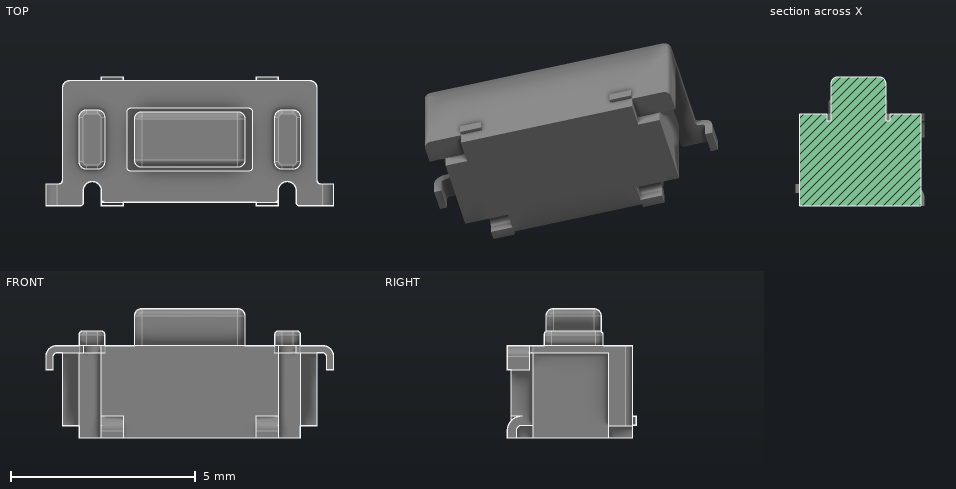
import cadquery as cq

CASE_TOP = 2.51
COVER_THICKNESS = 0.2
COVER_BOTTOM = CASE_TOP - COVER_THICKNESS
BUTTON_RISE = 1.0
BUTTON_TOP = CASE_TOP + BUTTON_RISE
BUMP_RISE = 0.4
BUMP_TOP = CASE_TOP + BUMP_RISE
FLANGE_BOTTOM = 0.33
TAB_BOTTOM = 1.85

CASE_BACK = 1.6
CASE_FRONT = -1.7
BLOCK_BACK = 0.95
BLOCK_FRONT = -1.1
TAB_BACK = -1.2
OVERHANG = 0.1
TAB_FRONT = CASE_FRONT - OVERHANG
TERMINAL_BACK = CASE_BACK + OVERHANG
TERMINAL_FRONT = CASE_FRONT - OVERHANG

COVER_HALF_WIDTH = 3.45
BLOCK_HALF_WIDTH = 3.0
CORE_HALF_WIDTH = 2.4
TAB_HALF_SPAN = 3.9

COVER_CORNER_RADIUS = 0.2
COVER_SMALL_RADIUS = 0.1
TAB_BEND_INNER_RADIUS = 0.1
TAB_BEND_OUTER_RADIUS = TAB_BEND_INNER_RADIUS + COVER_THICKNESS
NOTCH_RADIUS = 0.24
NOTCH_X = CORE_HALF_WIDTH + NOTCH_RADIUS
NOTCH_END = -1.14
WINDOW_LENGTH = 3.4
WINDOW_WIDTH = 1.7
WINDOW_RADIUS = 0.1

BUTTON_LENGTH = 3.0
BUTTON_WIDTH = 1.5
BUTTON_RADIUS = 0.2
BUMP_LENGTH = 0.7
BUMP_WIDTH = 1.6
BUMP_CORNER_RADIUS = 0.2
BUMP_TOP_RADIUS = 0.11
BUMP_X = 2.65

TERMINAL_WIDTH = 0.6
TERMINAL_STARTS = (-CORE_HALF_WIDTH, CORE_HALF_WIDTH - TERMINAL_WIDTH)
TERMINAL_TOP = 0.6
TERMINAL_THICKNESS = 0.25
TERMINAL_BEND_INNER_RADIUS = 0.15
TERMINAL_BEND_OUTER_RADIUS = TERMINAL_BEND_INNER_RADIUS + TERMINAL_THICKNESS

EDGE_SEARCH_REACH = 0.01


def box(x_min, x_max, y_min, y_max, z_min, z_max):
    """Box given by its limits along each axis."""
    size = (x_max - x_min, y_max - y_min, z_max - z_min)
    return cq.Workplane("XY").box(*size, centered=False).translate((x_min, y_min, z_min))


def centred_box(half_width, y_min, y_max, z_min, z_max):
    """Box symmetric about the YZ plane."""
    return box(-half_width, half_width, y_min, y_max, z_min, z_max)


def upright_edges_at(x, y, z_middle):
    """Selector for the upright edges at (-x, y) and (+x, y)."""
    left = cq.selectors.BoxSelector(*search_box(-x, y, z_middle))
    right = cq.selectors.BoxSelector(*search_box(x, y, z_middle))
    return left + right


def search_box(x, y, z):
    """Opposite corners of a small box around a point."""
    low = (x - EDGE_SEARCH_REACH, y - EDGE_SEARCH_REACH, z - EDGE_SEARCH_REACH)
    high = (x + EDGE_SEARCH_REACH, y + EDGE_SEARCH_REACH, z + EDGE_SEARCH_REACH)
    return low, high


def make_housing():
    """Moulded body: wide block, narrower core from front to back, and two front terminal pockets."""
    block = centred_box(BLOCK_HALF_WIDTH, BLOCK_FRONT, BLOCK_BACK, 0, COVER_BOTTOM)
    core = centred_box(CORE_HALF_WIDTH, CASE_FRONT, CASE_BACK, 0, COVER_BOTTOM)
    housing = block.union(core)
    for x_min in TERMINAL_STARTS:
        x_max = x_min + TERMINAL_WIDTH
        housing = housing.cut(box(x_min, x_max, CASE_FRONT, BLOCK_FRONT, 0, TERMINAL_TOP))
    return housing


def make_back_flange():
    """Full-width wall under the back of the cover."""
    flange = centred_box(COVER_HALF_WIDTH, BLOCK_BACK, CASE_BACK, FLANGE_BOTTOM, CASE_TOP)
    return flange.edges("|Z and >Y").fillet(COVER_CORNER_RADIUS)


def make_side_tabs():
    """Strip across the front of the cover whose two ends bend down into tabs."""
    strip = centred_box(TAB_HALF_SPAN, TAB_FRONT, TAB_BACK, TAB_BOTTOM, CASE_TOP)
    strip = strip.edges("|Y and >Z").fillet(TAB_BEND_OUTER_RADIUS)
    gap = centred_box(TAB_HALF_SPAN - COVER_THICKNESS, TAB_FRONT, TAB_BACK, TAB_BOTTOM, COVER_BOTTOM)
    gap = gap.edges("|Y and >Z").fillet(TAB_BEND_INNER_RADIUS)
    return strip.cut(gap)


def make_cover():
    """Sheet cover with bent side tabs, two front notches and the button window."""
    plate = centred_box(COVER_HALF_WIDTH, CASE_FRONT, CASE_BACK, COVER_BOTTOM, CASE_TOP)
    plate = plate.edges("|Z and >Y").fillet(COVER_CORNER_RADIUS)
    cover = plate.union(make_side_tabs())

    cover = cover.cut(centred_box(NOTCH_X, TAB_FRONT, CASE_FRONT, COVER_BOTTOM, CASE_TOP))
    notch_centre_y = NOTCH_END - NOTCH_RADIUS
    for side in (-1, 1):
        x = side * NOTCH_X
        slot = box(x - NOTCH_RADIUS, x + NOTCH_RADIUS, TAB_FRONT, notch_centre_y, COVER_BOTTOM, CASE_TOP)
        slot_end = (
            cq.Workplane("XY", origin=(x, notch_centre_y, COVER_BOTTOM))
            .circle(NOTCH_RADIUS)
            .extrude(COVER_THICKNESS)
        )
        cover = cover.cut(slot).cut(slot_end)

    rounded_corners = (
        (COVER_HALF_WIDTH, TAB_BACK),
        (NOTCH_X + NOTCH_RADIUS, TAB_FRONT),
        (NOTCH_X - NOTCH_RADIUS, CASE_FRONT),
    )
    z_middle = (COVER_BOTTOM + CASE_TOP) / 2
    for x, y in rounded_corners:
        cover = cover.edges(upright_edges_at(x, y, z_middle)).fillet(COVER_SMALL_RADIUS)

    window = (
        cq.Workplane("XY", origin=(0, 0, COVER_BOTTOM))
        .rect(WINDOW_LENGTH, WINDOW_WIDTH)
        .extrude(COVER_THICKNESS)
        .edges("|Z")
        .fillet(WINDOW_RADIUS)
    )
    return cover.cut(window)


def make_pad(x, length, width, top):
    """Upright rectangular pad standing on the housing."""
    pad = cq.Workplane("XY", origin=(x, 0, COVER_BOTTOM)).rect(length, width)
    return pad.extrude(top - COVER_BOTTOM)


def make_button():
    """Push button with one radius on its upright and top edges."""
    button = make_pad(0, BUTTON_LENGTH, BUTTON_WIDTH, BUTTON_TOP)
    return button.edges("|Z or >Z").fillet(BUTTON_RADIUS)


def make_bump(x):
    """Low bump beside the button, with rounded corners and a smaller top rim radius."""
    bump = make_pad(x, BUMP_LENGTH, BUMP_WIDTH, BUMP_TOP)
    bump = bump.edges("|Z").fillet(BUMP_CORNER_RADIUS)
    return bump.faces(">Z").edges().fillet(BUMP_TOP_RADIUS)


def make_front_terminal(x_min):
    """Terminal leaving the back of its pocket and bending down to the board."""
    x_max = x_min + TERMINAL_WIDTH
    lead = box(x_min, x_max, TERMINAL_FRONT, BLOCK_FRONT, 0, TERMINAL_TOP)
    lead = lead.edges("|X and >Z and <Y").fillet(TERMINAL_BEND_OUTER_RADIUS)
    inner_front = TERMINAL_FRONT + TERMINAL_THICKNESS
    inner_top = TERMINAL_TOP - TERMINAL_THICKNESS
    gap = box(x_min, x_max, inner_front, BLOCK_FRONT, 0, inner_top)
    gap = gap.edges("|X and >Z and <Y").fillet(TERMINAL_BEND_INNER_RADIUS)
    return lead.cut(gap)


def make_back_terminal(x_min):
    """Short straight terminal end standing out of the back."""
    x_max = x_min + TERMINAL_WIDTH
    return box(x_min, x_max, BLOCK_BACK, TERMINAL_BACK, TERMINAL_TOP - TERMINAL_THICKNESS, TERMINAL_TOP)


result = make_housing().union(make_back_flange()).union(make_cover())

result = result.union(make_button())

for bump_x in (-BUMP_X, BUMP_X):
    result = result.union(make_bump(bump_x))

for terminal_x in TERMINAL_STARTS:
    result = result.union(make_front_terminal(terminal_x))
    result = result.union(make_back_terminal(terminal_x))